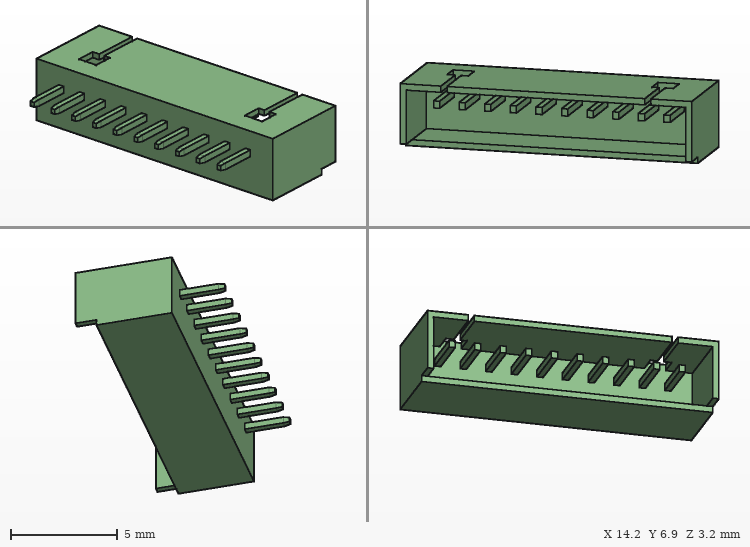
import cadquery as cq

length = 14.25
depth = 4.72
height = 3.2
wall = 0.3
back_wall = 1.2

step_depth = 1.03
step_height = wall

window_size = 1.04
slot_width = 0.3
slot_spacing = 9.96

pin_count = 10
pin_row_length = 11.26
pin_pitch = pin_row_length / (pin_count - 1)
pin_width = 0.3
pin_height = 0.34
pin_center_z = 2.07
pin_reach = 2.18
tip_length = 0.3
tip_width = 0.21
tip_height = 0.24
pin_inner_end = depth - step_depth

window_spacing = pin_row_length - pin_pitch


def block(x_size, y_start, y_end, z_start, z_end, x_center=0.0):
    """Box centred on x_center and running between the given Y and Z limits."""
    return (
        cq.Workplane("XY")
        .box(x_size, y_end - y_start, z_end - z_start, centered=(True, False, False))
        .translate((x_center, y_start, z_start))
    )


def make_housing():
    """Hollow box with an open mouth and a step under the mouth."""
    body = block(length, 0, depth, 0, height)
    cavity = block(length - 2 * wall, back_wall, depth, wall, height - wall)
    step = block(length, depth - step_depth, depth, 0, step_height)
    return body.cut(cavity).cut(step)


def make_roof_opening(side):
    """Window just inside the back wall, with its slot to the mouth; side is -1 or +1."""
    roof_bottom = height - wall
    window_end = back_wall + window_size
    window = block(window_size, back_wall, window_end, roof_bottom, height, side * window_spacing / 2)
    slot = block(slot_width, window_end, depth, roof_bottom, height, side * slot_spacing / 2)
    return window.union(slot)


def make_pin(x_center):
    """Straight pin with a tapered tip pointing towards -Y."""
    taper_start = tip_length - pin_reach
    shank = block(
        pin_width,
        taper_start,
        pin_inner_end,
        pin_center_z - pin_height / 2,
        pin_center_z + pin_height / 2,
        x_center,
    )
    tip = (
        cq.Workplane("XZ", origin=(x_center, taper_start, pin_center_z))
        .rect(pin_width, pin_height)
        .workplane(offset=tip_length)
        .rect(tip_width, tip_height)
        .loft(ruled=True)
    )
    return shank.union(tip)


result = make_housing()
for side in (-1, 1):
    result = result.cut(make_roof_opening(side))
for index in range(pin_count):
    result = result.union(make_pin(index * pin_pitch - pin_row_length / 2))